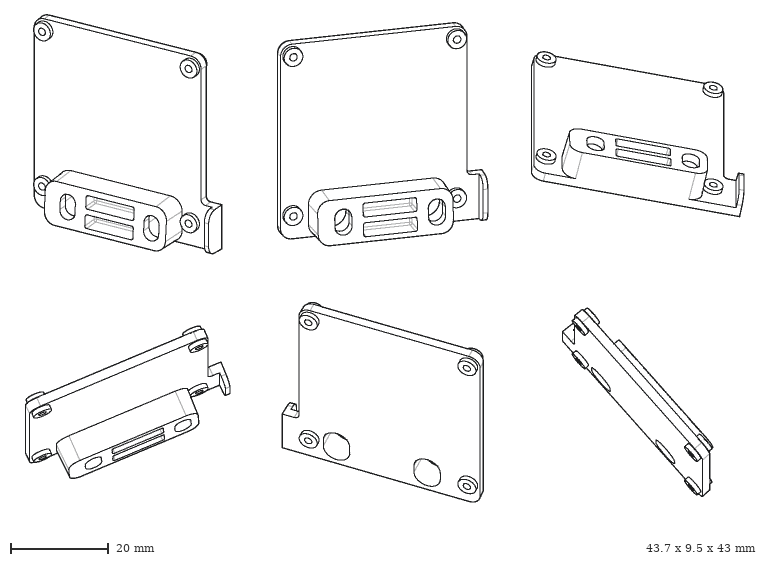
import cadquery as cq
import math

draft_angle = 2.0

plate_width = 40.0
plate_height = 43.0
plate_thickness = 2.0
plate_corner_radius = 2.5
tab_length = 3.7
tab_height = 10.0
tab_inner_radius = 1.0

lip_thickness = 1.2
lip_height = 3.0
lip_corner_radius = 2.3

boss_diameter = 4.0
boss_height = 1.0
boss_hole_diameter = 1.6
boss_pitch = 35.0
boss_left_inset = 2.53
boss_top_inset = 2.6

block_left = 6.03
block_width = 29.35
block_height = 10.05
block_corner_radius = 2.8
block_depth = 6.52
block_face_angle = 5.0

opening_center_x = 21.7
opening_center_z = 5.0
slot_pitch = 20.0
slot_width = 3.6
slot_height = 5.5
slot_recess_margin = 1.1
slot_recess_depth = 6.0
pocket_width = 11.5
pocket_height = 3.0
pocket_pitch = 4.2
pocket_depth = 4.0
pocket_fillet = 0.45

tab_end = plate_width + tab_length
block_bottom = plate_thickness * math.tan(math.radians(draft_angle))
block_front = -(plate_thickness + block_depth)


def front_facing_plane(y):
    """Sketch plane at the given Y: sketch axes are X and Z, extrusion goes toward -Y."""
    return cq.Workplane("XZ", origin=(0, y, 0))


def make_plate():
    """Drafted plate: three rounded corners, and a tab blended in at the lower right."""
    outer = plate_corner_radius
    inner = tab_inner_radius
    arc_inset = 1 - math.sqrt(0.5)
    outer_mid = outer * arc_inset
    inner_mid = inner * arc_inset
    outline = (
        front_facing_plane(0)
        .moveTo(outer, 0)
        .lineTo(tab_end, 0)
        .lineTo(tab_end, tab_height)
        .lineTo(plate_width + inner, tab_height)
        .threePointArc(
            (plate_width + inner_mid, tab_height + inner_mid),
            (plate_width, tab_height + inner),
        )
        .lineTo(plate_width, plate_height - outer)
        .threePointArc(
            (plate_width - outer_mid, plate_height - outer_mid),
            (plate_width - outer, plate_height),
        )
        .lineTo(outer, plate_height)
        .threePointArc((outer_mid, plate_height - outer_mid), (0, plate_height - outer))
        .lineTo(0, outer)
        .threePointArc((outer_mid, outer_mid), (outer, 0))
        .close()
    )
    return outline.extrude(plate_thickness, taper=draft_angle)


def make_lip():
    """Drafted upright lip with its two front corners rounded."""
    depth = plate_thickness + lip_height
    drafted = (
        front_facing_plane(0)
        .rect(tab_end, tab_height, centered=False)
        .extrude(depth, taper=draft_angle)
    )
    slab = (
        front_facing_plane(0)
        .moveTo(tab_end - lip_thickness, 0)
        .rect(lip_thickness, tab_height, centered=False)
        .extrude(depth)
    )
    return drafted.intersect(slab).faces("<Y").edges("|X").fillet(lip_corner_radius)


def make_block():
    """Drafted block with rounded corners; its front face leans back toward the top."""
    block = (
        front_facing_plane(-plate_thickness)
        .sketch()
        .push([(block_left + block_width / 2, block_bottom + block_height / 2)])
        .rect(block_width, block_height)
        .reset()
        .vertices()
        .fillet(block_corner_radius)
        .finalize()
        .extrude(block_depth, taper=draft_angle)
    )
    face_setback = block_height * math.tan(math.radians(block_face_angle))
    slope = (
        cq.Workplane("YZ")
        .moveTo(block_front, block_bottom)
        .lineTo(block_front + face_setback, block_bottom + block_height)
        .lineTo(block_front, block_bottom + block_height)
        .close()
        .extrude(tab_end)
    )
    return block.cut(slope)


def boss_centers():
    """X and Z of the four bosses, on a square pitch."""
    left = boss_left_inset
    right = left + boss_pitch
    top = plate_height - boss_top_inset
    bottom = top - boss_pitch
    return [(x, z) for x in (left, right) for z in (bottom, top)]


def through_bosses(diameter):
    """Cylinders at the boss positions, from the back boss faces to the front ones."""
    return (
        front_facing_plane(boss_height)
        .pushPoints(boss_centers())
        .circle(diameter / 2)
        .extrude(plate_thickness + 2 * boss_height)
    )


def slot_pair(margin, depth):
    """Both upright slots, enlarged all round by the margin, cut to a depth from the back face."""
    half = slot_pitch / 2
    return (
        front_facing_plane(0)
        .pushPoints([(opening_center_x + side * half, opening_center_z) for side in (-1, 1)])
        .slot2D(slot_height + 2 * margin, slot_width + 2 * margin, 90)
        .extrude(depth)
    )


def make_pocket(center_z):
    """Blind pocket that narrows toward its floor, with rounded floor and side edges."""
    return (
        cq.Workplane("XZ", origin=(opening_center_x, block_front, center_z))
        .rect(pocket_width, pocket_height)
        .extrude(-pocket_depth, taper=draft_angle)
        .faces("not <Y")
        .edges("not <Y")
        .fillet(pocket_fillet)
    )


result = (
    make_plate()
    .union(make_lip())
    .union(make_block())
    .union(through_bosses(boss_diameter))
    .cut(through_bosses(boss_hole_diameter))
    .cut(slot_pair(0, plate_thickness + block_depth))
    .cut(slot_pair(slot_recess_margin, slot_recess_depth))
)
for side in (-1, 1):
    result = result.cut(make_pocket(opening_center_z + side * pocket_pitch / 2))